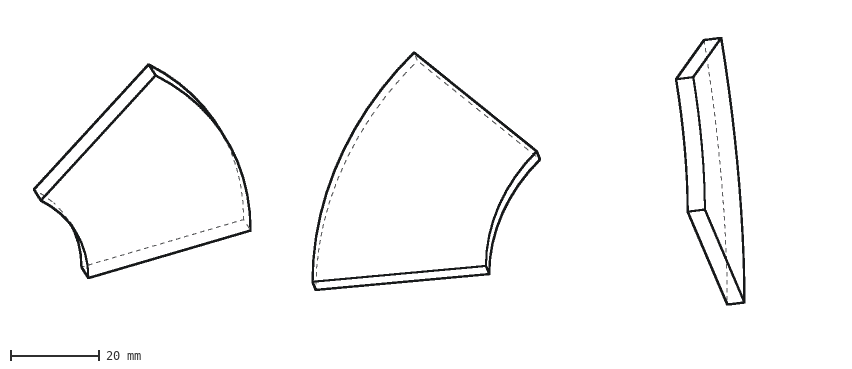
import cadquery as cq
import math

height = 56.55
thickness = 4.0
sweep_angle = math.radians(45)

outer_radius = height / math.sin(sweep_angle)
inner_radius = outer_radius / 2


def ring_point(radius, angle):
    """Point in (Y, Z) at the given radius, with the angle measured from +Y."""
    return (radius * math.cos(angle), radius * math.sin(angle))


result = (
    cq.Workplane("YZ")
    .moveTo(*ring_point(inner_radius, 0))
    .lineTo(*ring_point(outer_radius, 0))
    .threePointArc(
        ring_point(outer_radius, sweep_angle / 2),
        ring_point(outer_radius, sweep_angle),
    )
    .lineTo(*ring_point(inner_radius, sweep_angle))
    .threePointArc(
        ring_point(inner_radius, sweep_angle / 2),
        ring_point(inner_radius, 0),
    )
    .close()
    .extrude(thickness / 2, both=True)
)